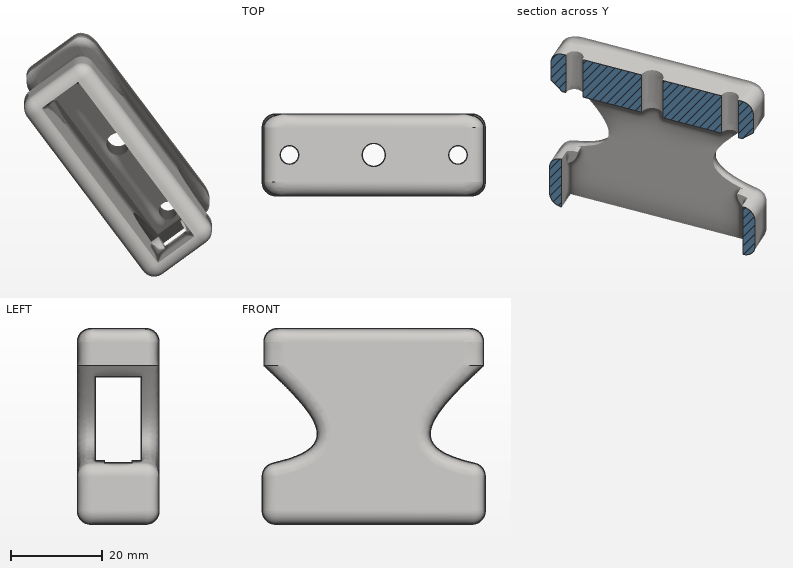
import cadquery as cq

base_length = 49.0
head_length = 48.3
depth = 18.0
height = 43.0
edge_radius = 3.0

head_bottom = 34.9
shoulder_height = 12.95
upper_pole = (9.45, 21.55)
lower_pole = (7.45, 16.1)

cavity_length = 43.0
cavity_width = 10.0
cavity_top = 32.4

catch_radius = 8.5 / 2
catch_width = 2.0
catch_height = 14.0
catch_reach = 2.5

center_hole_diameter = 5.0
screw_hole_diameter = 4.0
screw_hole_offset = 18.5

trim_allowance = 4.0


def make_body():
    """Waisted body up to the head joint, with all its outer edges rounded."""
    base_x = base_length / 2
    head_x = head_length / 2
    flare = (head_x - upper_pole[0]) / (head_bottom - upper_pole[1])
    top_x = head_x + flare * trim_allowance
    top_z = head_bottom + trim_allowance
    right_waist = [(head_x, head_bottom), upper_pole, lower_pole, (base_x, shoulder_height)]
    left_waist = [(-x, z) for x, z in reversed(right_waist)]
    body = (
        cq.Workplane("XZ", origin=(0, depth / 2, 0))
        .moveTo(-base_x, 0)
        .lineTo(-base_x, shoulder_height)
        .bezier(left_waist)
        .lineTo(-top_x, top_z)
        .lineTo(top_x, top_z)
        .lineTo(head_x, head_bottom)
        .bezier(right_waist)
        .lineTo(base_x, 0)
        .close()
        .extrude(depth)
        .edges("not(>Z)")
        .fillet(edge_radius)
    )
    below_joint = cq.Workplane().box(base_length, depth, head_bottom, centered=(True, True, False))
    return body.intersect(below_joint)


def add_head(body):
    """Straight head that continues the body's section at the joint, rounded on top."""
    head = (
        body.faces(">Z")
        .wires()
        .toPending()
        .workplane()
        .extrude(height - head_bottom, combine=False)
        .faces(">Z")
        .edges()
        .fillet(edge_radius)
    )
    return body.union(head)


def make_cavity():
    """Box-shaped cavity from the underside up to below the head."""
    return cq.Workplane().box(cavity_length, cavity_width, cavity_top, centered=(True, True, False))


def make_catches():
    """Four half discs with a flat top and rounded underside that overlap the cavity end walls."""
    disc_x = cavity_length / 2 - catch_reach + catch_radius
    catch_y = (cavity_width - catch_width) / 2
    below_catch_top = cq.Workplane().box(base_length, depth, catch_height, centered=(True, True, False))
    catches = cq.Workplane()
    for side in (-1, 1):
        for row in (-1, 1):
            disc = (
                cq.Workplane("XZ", origin=(side * disc_x, row * catch_y, catch_height))
                .circle(catch_radius)
                .extrude(catch_width / 2, both=True)
            )
            catches = catches.add(disc)
    return catches.combine().intersect(below_catch_top)


def make_holes():
    """Center hole and two screw holes, cut from the cavity up through the head."""
    center = cq.Workplane().circle(center_hole_diameter / 2).extrude(height)
    screws = (
        cq.Workplane()
        .pushPoints([(-screw_hole_offset, 0), (screw_hole_offset, 0)])
        .circle(screw_hole_diameter / 2)
        .extrude(height)
    )
    return center.union(screws)


cavity = make_cavity().cut(make_catches())
result = add_head(make_body()).cut(cavity).cut(make_holes())